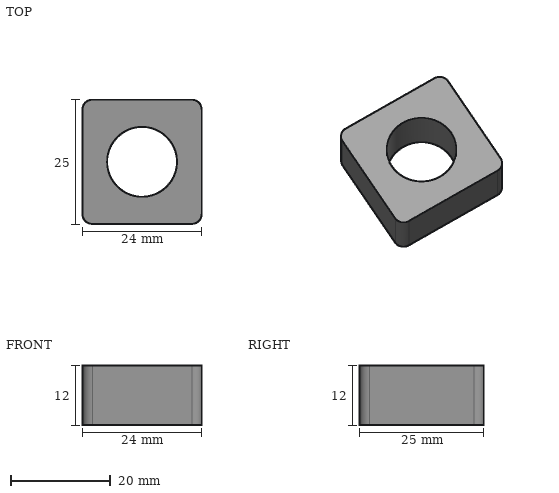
import cadquery as cq

width = 24.0
depth = 25.0
height = width / 2
corner_radius = 2.0

bore_diameter = 14.0

block = cq.Workplane("XY").box(width, depth, height)
rounded_block = block.edges("|Z").fillet(corner_radius)

result = rounded_block.faces(">Z").workplane().hole(bore_diameter)